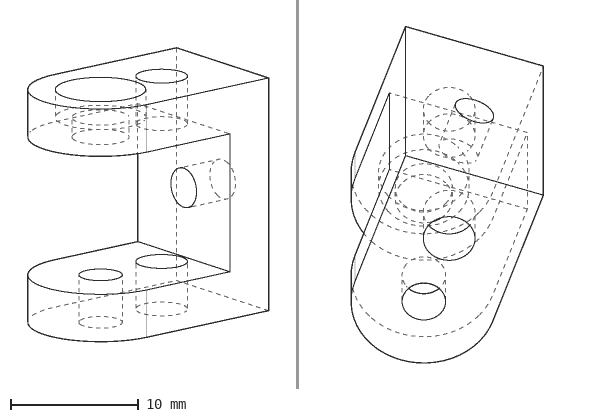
import cadquery as cq

width = 11.43
length = 18.08
height = 18.95
arm_thickness = 3.87
web_thickness = 3.95

web_hole_diameter = 3.18
arm_hole_diameter = 4.05
upper_pivot_diameter = 4.5
lower_pivot_diameter = 3.41
counterbore_diameter = 7.1
counterbore_depth = 2.27

nose_radius = width / 2
back_y = length - nose_radius
arm_hole_y = back_y / 2
gap_height = height - 2 * arm_thickness
gap_front_y = -nose_radius
gap_back_y = back_y - web_thickness


def vertical_cylinder(diameter, y, bottom, top):
    """Cylinder along Z between two heights, centred on X = 0."""
    return (
        cq.Workplane("XY", origin=(0, y, bottom))
        .circle(diameter / 2)
        .extrude(top - bottom)
    )


body = (
    cq.Workplane("XY")
    .moveTo(-nose_radius, back_y)
    .lineTo(-nose_radius, 0)
    .threePointArc((0, -nose_radius), (nose_radius, 0))
    .lineTo(nose_radius, back_y)
    .close()
    .extrude(height)
)

gap = cq.Workplane("XY", origin=(0, gap_front_y, arm_thickness)).box(
    width, gap_back_y - gap_front_y, gap_height, centered=(True, False, False)
)

arm_hole = vertical_cylinder(arm_hole_diameter, arm_hole_y, 0, height)

lower_pivot = vertical_cylinder(lower_pivot_diameter, 0, 0, arm_thickness)
upper_pivot = vertical_cylinder(upper_pivot_diameter, 0, height - arm_thickness, height)
counterbore = vertical_cylinder(counterbore_diameter, 0, height - counterbore_depth, height)

web_hole = (
    cq.Workplane("XZ", origin=(0, back_y, height / 2))
    .circle(web_hole_diameter / 2)
    .extrude(web_thickness)
)

result = body
for cutter in (gap, arm_hole, lower_pivot, upper_pivot, counterbore, web_hole):
    result = result.cut(cutter)